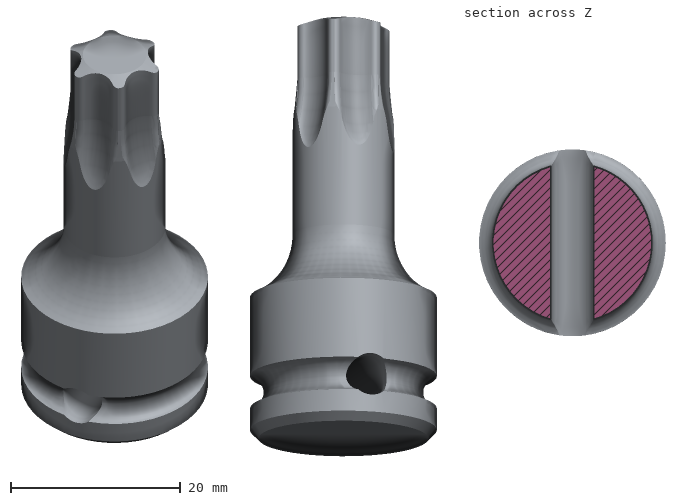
import cadquery as cq
import math

total_height = 50.0
body_radius = 11.0
shaft_radius = 6.0

base_chamfer = 1.0
hole_height = 5.55
hole_diameter = 5.0
groove_width = 3.9
groove_depth = 1.6
body_top = 17.0
shoulder_top = 24.5

lobe_count = 6
rounding_centre = 4.9
root_radius = 3.95
crest_rounding = 0.75
crest_land = 0.3
tip_length = 7.0
taper_end = 11.25
end_flat_radius = 3.75
end_cone_drop = 0.65
runout_radius = 20.0
runout_angle = 45.0
cutter_reach = shaft_radius + 1.0

tip_base = total_height - tip_length
land_half_angle = math.asin(crest_land / 2 / crest_rounding)
tip_radius = rounding_centre + crest_rounding * math.cos(land_half_angle)


def turned_blank():
    """Revolved outline of the body, shoulder, shaft and coned tip."""
    groove_bottom = hole_height - groove_width / 2
    groove_top = hole_height + groove_width / 2
    rise = shoulder_top - body_top
    spread = body_radius - shaft_radius
    shoulder_radius = (rise**2 + spread**2) / (2 * spread)
    half_angle = math.asin(rise / shoulder_radius) / 2
    shoulder_middle = (
        shaft_radius + shoulder_radius * (1 - math.cos(half_angle)),
        shoulder_top - shoulder_radius * math.sin(half_angle),
    )
    return (
        cq.Workplane("XZ")
        .moveTo(0, 0)
        .lineTo(body_radius - base_chamfer, 0)
        .lineTo(body_radius, base_chamfer)
        .lineTo(body_radius, groove_bottom)
        .threePointArc((body_radius - groove_depth, hole_height), (body_radius, groove_top))
        .lineTo(body_radius, body_top)
        .threePointArc(shoulder_middle, (shaft_radius, shoulder_top))
        .lineTo(shaft_radius, total_height - taper_end)
        .lineTo(tip_radius, tip_base)
        .lineTo(tip_radius, total_height - end_cone_drop)
        .lineTo(end_flat_radius, total_height)
        .lineTo(0, total_height)
        .close()
        .revolve(360, (0, 0, 0), (0, 1, 0))
    )


def flute_profile():
    """Section of one flute on the +Y side, from crest land to crest land."""
    half_pitch = math.pi / lobe_count
    cosine = math.cos(half_pitch)
    centre_x = rounding_centre * math.sin(half_pitch)
    centre_y = rounding_centre * cosine

    flute_radius = (
        rounding_centre**2
        + root_radius**2
        - 2 * rounding_centre * root_radius * cosine
        - crest_rounding**2
    ) / (2 * (crest_rounding + centre_y - root_radius))

    flank_angle = math.atan2(root_radius + flute_radius - centre_y, -centre_x)
    lobe_angle = math.pi / 2 - half_pitch
    land_angle = lobe_angle + land_half_angle

    def on_rounding(angle):
        return (
            centre_x + crest_rounding * math.cos(angle),
            centre_y + crest_rounding * math.sin(angle),
        )

    land_x, land_y = on_rounding(land_angle)
    mid_x, mid_y = on_rounding((flank_angle + land_angle) / 2)
    join_x, join_y = on_rounding(flank_angle)
    outer_x = land_x + (cutter_reach - land_y) * math.tan(half_pitch)
    return (
        cq.Workplane("XY", origin=(0, 0, tip_base))
        .moveTo(outer_x, cutter_reach)
        .lineTo(land_x, land_y)
        .threePointArc((mid_x, mid_y), (join_x, join_y))
        .threePointArc((0, root_radius), (-join_x, join_y))
        .threePointArc((-mid_x, mid_y), (-land_x, land_y))
        .lineTo(-outer_x, cutter_reach)
        .close()
    )


def flute_cutter():
    """Straight flute along the tip, curving outward into the shaft below it."""
    straight = flute_profile().extrude(tip_length)
    axis_y = root_radius + runout_radius
    runout = flute_profile().revolve(runout_angle, (0, axis_y, 0), (1, axis_y, 0))
    return straight.union(runout)


def cross_hole():
    """Retaining pin hole through the body along Y."""
    return (
        cq.Workplane("XZ")
        .center(0, hole_height)
        .circle(hole_diameter / 2)
        .extrude(body_radius, both=True)
    )


result = turned_blank().cut(cross_hole())
cutter = flute_cutter()
for index in range(lobe_count):
    angle = (index + 0.5) * 360 / lobe_count
    result = result.cut(cutter.rotate((0, 0, 0), (0, 0, 1), angle - 90))